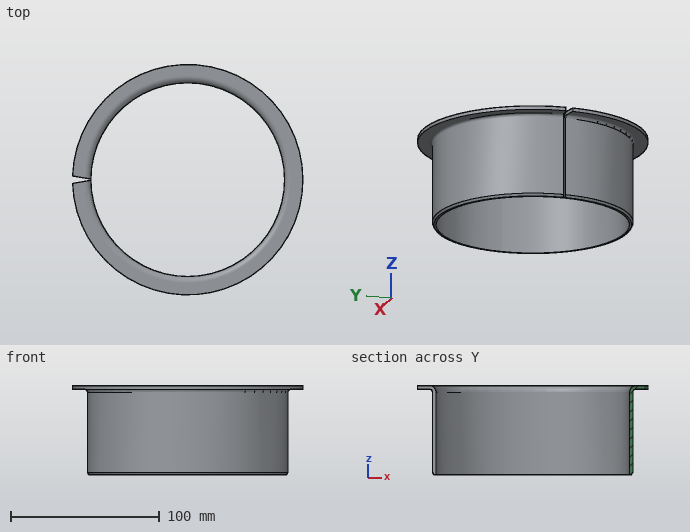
import cadquery as cq

bore_radius = 65.0
wall = 2.5
flange_radius = 77.5
height = 60.0
outer_bend_radius = 2.0
lead_in_height = 1.7
lead_in_depth = 1.0
inner_gap_width = 0.6
outer_gap_width = 4.9

sleeve_radius = bore_radius + wall
inner_bend_radius = outer_bend_radius + wall
bend_centre_radius = sleeve_radius + outer_bend_radius
bend_start_z = height - inner_bend_radius
flange_underside_z = height - wall


def flanged_sleeve():
    """Constant-wall sleeve, bent outwards into a flange and chamfered at its foot."""
    diagonal = 0.5**0.5
    outer_bend_middle = (
        bend_centre_radius - outer_bend_radius * diagonal,
        bend_start_z + outer_bend_radius * diagonal,
    )
    inner_bend_middle = (
        bend_centre_radius - inner_bend_radius * diagonal,
        bend_start_z + inner_bend_radius * diagonal,
    )
    profile = (
        cq.Workplane("XZ")
        .moveTo(bore_radius, 0)
        .lineTo(sleeve_radius - lead_in_depth, 0)
        .lineTo(sleeve_radius, lead_in_height)
        .lineTo(sleeve_radius, bend_start_z)
        .threePointArc(outer_bend_middle, (bend_centre_radius, flange_underside_z))
        .lineTo(flange_radius, flange_underside_z)
        .lineTo(flange_radius, height)
        .lineTo(bend_centre_radius, height)
        .threePointArc(inner_bend_middle, (bore_radius, bend_start_z))
        .close()
    )
    return profile.revolve(360, (0, 0, 0), (0, 1, 0))


def split_gap():
    """Wedge that splits the ring on its -X side over the full height, widening outwards.

    It runs on at its inner width to the axis, so it cuts cleanly through the bore surface.
    """
    half_inner = inner_gap_width / 2
    half_outer = outer_gap_width / 2
    outline = [
        (0, -half_inner),
        (0, half_inner),
        (-bore_radius, half_inner),
        (-flange_radius, half_outer),
        (-flange_radius, -half_outer),
        (-bore_radius, -half_inner),
    ]
    return cq.Workplane("XY").polyline(outline).close().extrude(height)


result = flanged_sleeve().cut(split_gap())